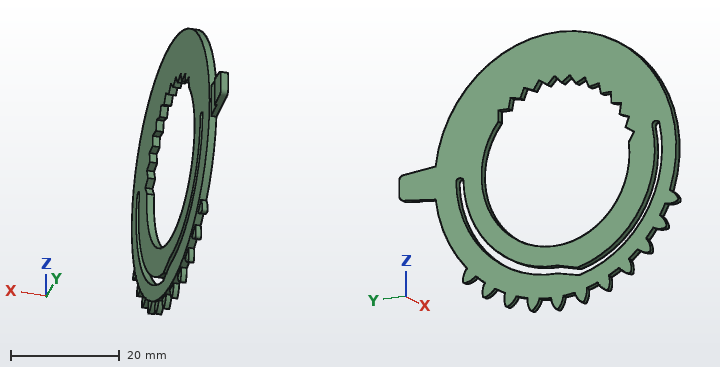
import cadquery as cq
import math

THICKNESS = 1.4
THIN_THICKNESS = 1.05
OVERLAP = 0.6
DISC_RADIUS = 25.3
BORE_RADIUS = 15.5

TOOTH_PITCH = 11.25
TOOTH_OFFSET = 0.8
FIRST_TOOTH = -4
LAST_TOOTH = 6
ROOT_RADIUS = 25.15
TIP_RADIUS = 27.65
ROOT_HALF_WIDTH = 1.3
FLANK_RADIUS = 26.6
FLANK_HALF_WIDTH = 0.95
TIP_CORNER_RADIUS = 27.5
TIP_HALF_WIDTH = 0.35

NOTCH_PITCH = 11.0
NOTCH_OFFSET = 180.7
FIRST_NOTCH = -7
LAST_NOTCH = 4
NOTCH_RADIUS = 16.95

SLOT_WIDTH = 1.5
SLOT_INNER_RADIUS = 20.05
SLOT_OUTER_RADIUS = 21.55
SLOT_INNER_END = -88.5
STEP_START = 1.3
STEP_END = 12.9
SLOT_OUTER_END = 102.7

TAB_END = 32.75
TAB_END_HALF_WIDTH = 2.35
TAB_ROOT_HALF_WIDTH = 3.15
TAB_CORNER_RADIUS = 1.0
NECK_END = 28.65


def polar(radius, angle):
    """(Y, Z) point at an angle in degrees from -Z toward -Y."""
    return (-radius * math.sin(math.radians(angle)), -radius * math.cos(math.radians(angle)))


def tilted(radius, offset, angle):
    """(Y, Z) point at a height along the given direction and an offset to its side."""
    return polar(math.hypot(radius, offset), angle + math.degrees(math.atan2(offset, radius)))


def plate():
    """Workplane on the -X face of the plate; extrusions run toward +X."""
    return cq.Workplane("YZ")


def make_tooth(angle):
    """Tapered gear tooth with bowed flanks and a rounded tip."""
    inside = ROOT_RADIUS - OVERLAP
    return (
        plate()
        .moveTo(*tilted(inside, -ROOT_HALF_WIDTH, angle))
        .lineTo(*tilted(ROOT_RADIUS, -ROOT_HALF_WIDTH, angle))
        .threePointArc(
            tilted(FLANK_RADIUS, -FLANK_HALF_WIDTH, angle),
            tilted(TIP_CORNER_RADIUS, -TIP_HALF_WIDTH, angle),
        )
        .threePointArc(polar(TIP_RADIUS, angle), tilted(TIP_CORNER_RADIUS, TIP_HALF_WIDTH, angle))
        .threePointArc(
            tilted(FLANK_RADIUS, FLANK_HALF_WIDTH, angle),
            tilted(ROOT_RADIUS, ROOT_HALF_WIDTH, angle),
        )
        .lineTo(*tilted(inside, ROOT_HALF_WIDTH, angle))
        .close()
        .extrude(THIN_THICKNESS)
    )


def make_notch(angle):
    """Right-angled V cutter whose apex points away from the ring axis."""
    depth = NOTCH_RADIUS - BORE_RADIUS + OVERLAP
    base = NOTCH_RADIUS - depth
    points = [tilted(base, -depth, angle), polar(NOTCH_RADIUS, angle), tilted(base, depth, angle)]
    return plate().polyline(points).close().extrude(THICKNESS)


def make_slot():
    """Cutter for two round-ended arc slots joined by a straight step."""
    half = SLOT_WIDTH / 2
    near_in, near_out = SLOT_INNER_RADIUS - half, SLOT_INNER_RADIUS + half
    far_in, far_out = SLOT_OUTER_RADIUS - half, SLOT_OUTER_RADIUS + half
    near_mid = (SLOT_INNER_END + STEP_START) / 2
    far_mid = (STEP_END + SLOT_OUTER_END) / 2
    return (
        plate()
        .moveTo(*polar(near_in, SLOT_INNER_END))
        .threePointArc(polar(near_in, near_mid), polar(near_in, STEP_START))
        .lineTo(*polar(far_in, STEP_END))
        .threePointArc(polar(far_in, far_mid), polar(far_in, SLOT_OUTER_END))
        .threePointArc(tilted(SLOT_OUTER_RADIUS, half, SLOT_OUTER_END), polar(far_out, SLOT_OUTER_END))
        .threePointArc(polar(far_out, far_mid), polar(far_out, STEP_END))
        .lineTo(*polar(near_out, STEP_START))
        .threePointArc(polar(near_out, near_mid), polar(near_out, SLOT_INNER_END))
        .threePointArc(tilted(SLOT_INNER_RADIUS, -half, SLOT_INNER_END), polar(near_in, SLOT_INNER_END))
        .close()
        .extrude(THICKNESS)
    )


def make_tab():
    """Tapered tab with rounded corners, thinned between the disc rim and its end pad."""
    root = math.sqrt(DISC_RADIUS ** 2 - TAB_ROOT_HALF_WIDTH ** 2)
    buried = root - OVERLAP
    tab = (
        plate()
        .polyline([
            (buried, -TAB_ROOT_HALF_WIDTH),
            (root, -TAB_ROOT_HALF_WIDTH),
            (TAB_END, -TAB_END_HALF_WIDTH),
            (TAB_END, TAB_END_HALF_WIDTH),
            (root, TAB_ROOT_HALF_WIDTH),
            (buried, TAB_ROOT_HALF_WIDTH),
        ])
        .close()
        .extrude(THICKNESS)
        .edges("|X and >Y")
        .fillet(TAB_CORNER_RADIUS)
    )
    relief_width = 2 * (TAB_ROOT_HALF_WIDTH + OVERLAP)
    neck_relief = (
        plate()
        .workplane(offset=THIN_THICKNESS)
        .center(NECK_END / 2, 0)
        .rect(NECK_END, relief_width)
        .extrude(THICKNESS - THIN_THICKNESS)
    )
    return tab.cut(neck_relief)


result = plate().circle(DISC_RADIUS).extrude(THICKNESS).union(make_tab())
for index in range(FIRST_TOOTH, LAST_TOOTH + 1):
    result = result.union(make_tooth(TOOTH_OFFSET + index * TOOTH_PITCH))

result = result.cut(plate().circle(BORE_RADIUS).extrude(THICKNESS))
for index in range(FIRST_NOTCH, LAST_NOTCH + 1):
    result = result.cut(make_notch(NOTCH_OFFSET + index * NOTCH_PITCH))

result = result.cut(make_slot())